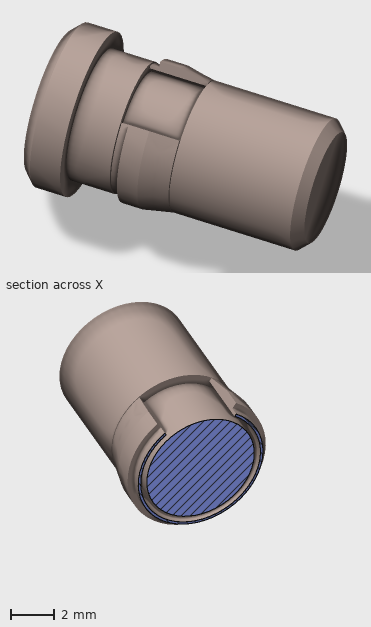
import cadquery as cq
import math

length = 13.6
head_radius = 4.0
head_length = 2.0
shaft_radius = 3.2
edge_chamfer = 0.5

groove_start = 4.15
groove_end = 7.1
groove_radius = 2.72

end_clearance = 0.04
clip_start = groove_start + end_clearance
clip_end = groove_end - end_clearance
collar_length = 0.42
band_length = 1.02
clip_inner_radius = 3.0
collar_radius = 3.15
band_radius = 3.48
root_fillet = 0.04
gap_half_angle = 34.7


def build_pin():
    """Headed shaft with both ends chamfered and a groove for the clip."""
    head = cq.Workplane("YZ").circle(head_radius).extrude(head_length)
    shaft = cq.Workplane("YZ").circle(shaft_radius).extrude(length)
    body = head.union(shaft)
    body = body.faces("<X or >X").chamfer(edge_chamfer)
    groove = (
        cq.Workplane("YZ", origin=(groove_start, 0, 0))
        .circle(head_radius)
        .circle(groove_radius)
        .extrude(groove_end - groove_start)
    )
    return body.cut(groove)


def build_clip():
    """Ring revolved about X, opened by a radial-sided gap at the top."""
    band_start = clip_start + collar_length
    taper_start = band_start + band_length
    ring = (
        cq.Workplane("XY")
        .moveTo(clip_start, clip_inner_radius)
        .lineTo(clip_start, collar_radius)
        .lineTo(band_start - root_fillet, collar_radius)
        .radiusArc((band_start, collar_radius + root_fillet), -root_fillet)
        .lineTo(band_start, band_radius)
        .lineTo(taper_start, band_radius)
        .lineTo(clip_end, shaft_radius)
        .lineTo(clip_end, clip_inner_radius)
        .close()
        .revolve(360, (0, 0, 0), (1, 0, 0))
    )
    wedge_height = head_radius
    wedge_half_width = wedge_height * math.tan(math.radians(gap_half_angle))
    wedge = (
        cq.Workplane("YZ")
        .polyline([(0, 0), (wedge_half_width, wedge_height), (-wedge_half_width, wedge_height)])
        .close()
        .extrude(length)
    )
    return ring.cut(wedge)


pin = build_pin()
clip = build_clip()
result = cq.Compound.makeCompound([pin.val(), clip.val()])